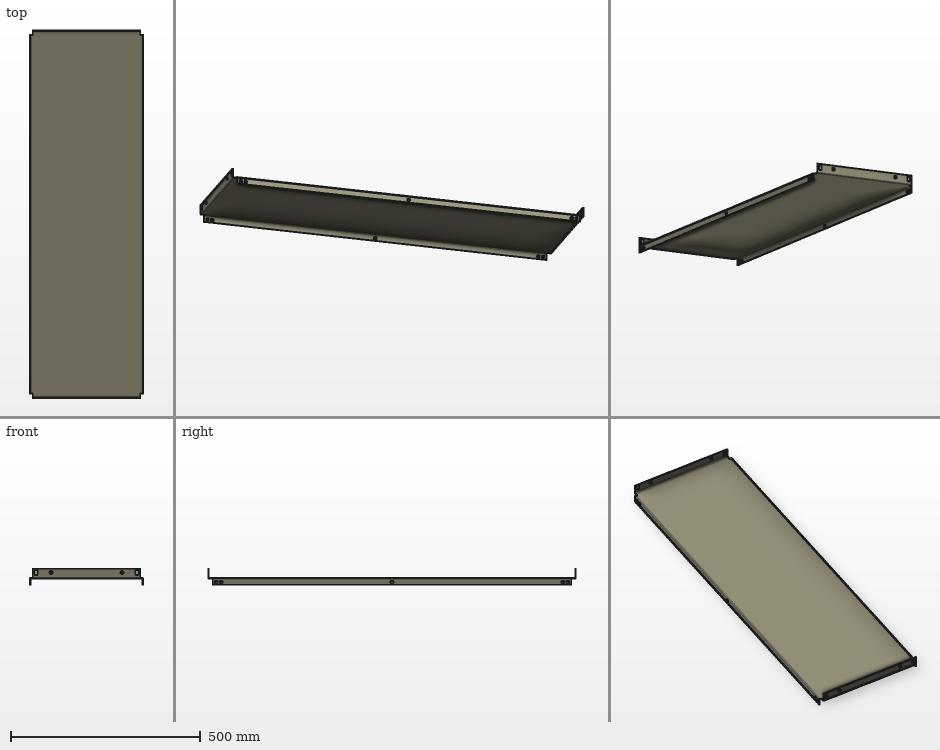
import cadquery as cq

width = 298.0
length = 969.0
height = 43.0

sheet = 2.0
inner_radius = 1.0
outer_radius = inner_radius + sheet

side_flange_drop = 19.0
end_flange_rise = height - side_flange_drop
end_flange_width = 284.0
side_flange_length = 945.0

end_slot_width = 7.0
end_slot_height = 14.0
end_slot_x = 133.0
end_hole_diameter = 7.0
end_hole_x = 93.5
end_hole_z = 14.0

side_hole_diameter = 7.0
side_hole_z = -11.5
inner_hole_y = 450.0
outer_hole_y = 463.0


def folded_channel(plane, span, depth, flange_tip, outer_z, inner_z):
    """Sheet channel: a web between two flanges folded toward flange_tip.

    The web lies between outer_z, on the outside of the folds, and inner_z, on their inside.
    """
    outer_x = span / 2
    inner_x = outer_x - sheet
    fold_x = outer_x - outer_radius
    direction = 1 if flange_tip > outer_z else -1
    fold_z = outer_z + direction * outer_radius

    def fold_middle(side, radius):
        """Point halfway round a fold, at 45 degrees from its centre."""
        offset = radius * 0.5 ** 0.5
        return (side * (fold_x + offset), fold_z - direction * offset)

    outline = (
        cq.Workplane(plane)
        .moveTo(-outer_x, flange_tip)
        .lineTo(-outer_x, fold_z)
        .threePointArc(fold_middle(-1, outer_radius), (-fold_x, outer_z))
        .lineTo(fold_x, outer_z)
        .threePointArc(fold_middle(1, outer_radius), (outer_x, fold_z))
        .lineTo(outer_x, flange_tip)
        .lineTo(inner_x, flange_tip)
        .lineTo(inner_x, fold_z)
        .threePointArc(fold_middle(1, inner_radius), (fold_x, inner_z))
        .lineTo(-fold_x, inner_z)
        .threePointArc(fold_middle(-1, inner_radius), (-inner_x, fold_z))
        .lineTo(-inner_x, flange_tip)
        .close()
    )
    return outline.extrude(depth / 2, both=True)


def end_flange_holes():
    """Cutters along Y: upright slots near the corners and round holes further in."""
    slots = (
        cq.Workplane("XZ")
        .pushPoints([(-end_slot_x, end_hole_z), (end_slot_x, end_hole_z)])
        .slot2D(end_slot_height, end_slot_width, angle=90)
        .extrude(length, both=True)
    )
    round_holes = (
        cq.Workplane("XZ")
        .pushPoints([(-end_hole_x, end_hole_z), (end_hole_x, end_hole_z)])
        .circle(end_hole_diameter / 2)
        .extrude(length, both=True)
    )
    return slots.union(round_holes)


def side_flange_holes():
    """Cutters along X: one hole at mid-length and a pair near each end."""
    hole_positions = (-outer_hole_y, -inner_hole_y, 0.0, inner_hole_y, outer_hole_y)
    return (
        cq.Workplane("YZ")
        .pushPoints([(y, side_hole_z) for y in hole_positions])
        .circle(side_hole_diameter / 2)
        .extrude(width, both=True)
    )


side_channel = folded_channel("XZ", width, side_flange_length, -side_flange_drop, 0.0, -sheet)
end_channel = folded_channel("YZ", length, end_flange_width, end_flange_rise, -sheet, 0.0)
tray = side_channel.union(end_channel)

result = tray.cut(end_flange_holes()).cut(side_flange_holes())